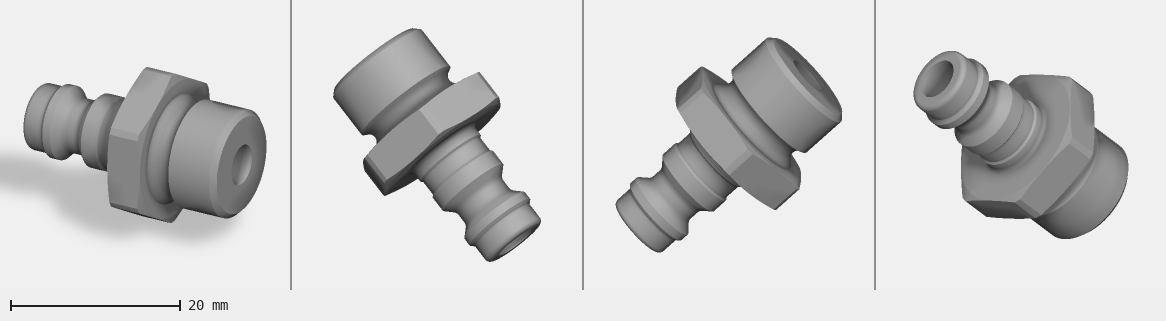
import cadquery as cq
import math

length = 27.5
bore_diameter = 4.95
full_turn = 360.0
quarter_turn = full_turn / 4

nose_radius = 8.1 / 2
nose_rounding = 0.6
nose_end = 2.6
body_radius = 9.0 / 2
collar_end = 4.07

latch_radius = 6.65 / 2
latch_end = 8.28
latch_blend = 1.0
latch_angle = 45.0

band_radius = 8.5 / 2
band_start = 10.23
band_end = 12.68

hex_start = 14.1
hex_width = 4.4
hex_end = hex_start + hex_width
hex_sides = 6
hex_across_flats = 17.0
hex_across_corners = 19.15
hex_face_diameter = 16.88
hex_chamfer_angle = 15.0
hex_fillet = 0.5

thread_radius = 13.17 / 2
thread_chamfer = 0.65
relief_radius = 5.53
relief_center = 20.1
relief_rounding = 1.05
relief_hex_angle = 45.0
relief_thread_angle = 60.0


def arc_point(center_x, floor_radius, rounding, angle):
    """Point on a concave rounding whose low point is (center_x, floor_radius), angle away from it."""
    turn = math.radians(angle)
    return (
        center_x + rounding * math.sin(turn),
        floor_radius + rounding * (1 - math.cos(turn)),
    )


def flank_run(floor_radius, rounding, angle, top_radius):
    """Axial distance from the low point of a rounding to where its tangent flank reaches top_radius."""
    run, tangent_radius = arc_point(0, floor_radius, rounding, angle)
    return run + (top_radius - tangent_radius) / math.tan(math.radians(angle))


def make_turned_body():
    """Revolve the outer profile, from the plug end to the threaded end."""
    nose_step = body_radius - nose_radius
    band_step = body_radius - band_radius

    nose_diagonal = nose_rounding * math.cos(math.radians(quarter_turn / 2))
    nose_mid = (nose_rounding - nose_diagonal, nose_radius - nose_rounding + nose_diagonal)

    latch_run = flank_run(latch_radius, latch_blend, latch_angle, body_radius)
    floor_start = collar_end + latch_run
    floor_end = latch_end - latch_run

    fillet_start = hex_start - hex_fillet
    fillet_mid = arc_point(fillet_start, body_radius, hex_fillet, quarter_turn / 2)

    relief_left = arc_point(relief_center, relief_radius, relief_rounding, -relief_hex_angle)
    relief_right = arc_point(relief_center, relief_radius, relief_rounding, relief_thread_angle)
    relief_slope = math.tan(math.radians(relief_hex_angle))
    relief_hex_radius = relief_left[1] + (relief_left[0] - hex_end) * relief_slope
    thread_start = relief_center + flank_run(
        relief_radius, relief_rounding, relief_thread_angle, thread_radius
    )

    profile = (
        cq.Workplane("XY")
        .lineTo(0, nose_radius - nose_rounding)
        .threePointArc(nose_mid, (nose_rounding, nose_radius))
        .lineTo(nose_end, nose_radius)
        .lineTo(nose_end + nose_step, body_radius)
        .lineTo(collar_end, body_radius)
        .lineTo(*arc_point(floor_start, latch_radius, latch_blend, -latch_angle))
        .threePointArc(
            arc_point(floor_start, latch_radius, latch_blend, -latch_angle / 2),
            (floor_start, latch_radius),
        )
        .lineTo(floor_end, latch_radius)
        .threePointArc(
            arc_point(floor_end, latch_radius, latch_blend, latch_angle / 2),
            arc_point(floor_end, latch_radius, latch_blend, latch_angle),
        )
        .lineTo(latch_end, body_radius)
        .lineTo(band_start, body_radius)
        .lineTo(band_start + band_step, band_radius)
        .lineTo(band_end - band_step, band_radius)
        .lineTo(band_end, body_radius)
        .lineTo(fillet_start, body_radius)
        .threePointArc(fillet_mid, (hex_start, body_radius + hex_fillet))
        .lineTo(hex_end, relief_hex_radius)
        .lineTo(*relief_left)
        .threePointArc((relief_center, relief_radius), relief_right)
        .lineTo(thread_start, thread_radius)
        .lineTo(length - thread_chamfer, thread_radius)
        .lineTo(length, thread_radius - thread_chamfer)
        .lineTo(length, 0)
        .close()
    )
    return profile.revolve(full_turn, (0, 0, 0), (1, 0, 0))


def make_hexagon():
    """Hexagon with flats facing +Y and -Y, its corners turned down and both faces chamfered."""
    sharp_corners = hex_across_flats / math.cos(math.pi / hex_sides)
    prism = (
        cq.Workplane("YZ", origin=(hex_start, 0, 0))
        .transformed(rotate=(0, 0, quarter_turn))
        .polygon(hex_sides, sharp_corners)
        .extrude(hex_width)
    )
    corner_radius = hex_across_corners / 2
    face_radius = hex_face_diameter / 2
    chamfer_depth = (corner_radius - face_radius) * math.tan(math.radians(hex_chamfer_angle))
    envelope = (
        cq.Workplane("XY")
        .moveTo(hex_start, 0)
        .lineTo(hex_start, face_radius)
        .lineTo(hex_start + chamfer_depth, corner_radius)
        .lineTo(hex_end - chamfer_depth, corner_radius)
        .lineTo(hex_end, face_radius)
        .lineTo(hex_end, 0)
        .close()
        .revolve(full_turn, (0, 0, 0), (1, 0, 0))
    )
    return prism.intersect(envelope)


bore = cq.Workplane("YZ").circle(bore_diameter / 2).extrude(length)

result = make_turned_body().union(make_hexagon()).cut(bore)